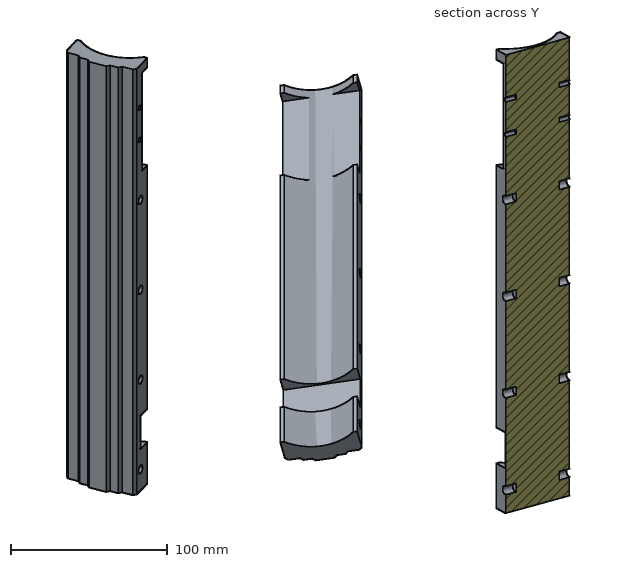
import cadquery as cq

LENGTH = 317.0
WIDTH = 50.0
DEPTH = 21.0
HALF_WIDTH = WIDTH / 2
FRONT = -DEPTH / 2
BACK = DEPTH / 2
TOP = LENGTH / 2
BOTTOM = -LENGTH / 2

RIM_WIDTH = 2.5
TROUGH_DEPTH = 8.5

STEP = 2.0
CENTRE_LAND_HALF = 6.0
MIDDLE_LAND_HALF = 13.5
OUTER_LAND_HALF = HALF_WIDTH - STEP

UPPER_NOTCH = (TOP - 80.0, TOP - 7.0, 7.5)
LOWER_NOTCH = (BOTTOM + 31.0, BOTTOM + 55.8, 9.8)

LARGE_HOLE_DIAMETER = 5.7
LARGE_HOLE_Y = BACK - 9.8
LARGE_HOLE_COUNT = 4
LARGE_HOLE_PITCH = 67.0
LOWEST_HOLE_Z = BOTTOM + 16.0
SMALL_HOLE_DIAMETER = 3.2
SMALL_HOLE_Y = BACK - 11.0
SMALL_HOLE_HEIGHTS = (TOP - 55.0, TOP - 31.0)
HOLE_DEPTH = 8.0


def make_body():
    """Extrude the cross-section with its stepped front and arched back."""
    right_front = [
        (CENTRE_LAND_HALF, FRONT),
        (CENTRE_LAND_HALF + STEP, FRONT + STEP),
        (MIDDLE_LAND_HALF, FRONT + STEP),
        (MIDDLE_LAND_HALF + STEP, FRONT + 2 * STEP),
        (OUTER_LAND_HALF, FRONT + 2 * STEP),
        (HALF_WIDTH, FRONT + 3 * STEP),
        (HALF_WIDTH, BACK),
    ]
    left_front = [(-x, y) for x, y in reversed(right_front)]
    trough_half = HALF_WIDTH - RIM_WIDTH
    return (
        cq.Workplane("XY", origin=(0, 0, BOTTOM))
        .polyline(left_front + right_front)
        .lineTo(trough_half, BACK)
        .threePointArc((0, BACK - TROUGH_DEPTH), (-trough_half, BACK))
        .close()
        .extrude(LENGTH)
    )


def make_notch(lower_end, upper_end, depth):
    """Return a full-width cutter reaching in from the back."""
    return (
        cq.Workplane("XY", origin=(0, BACK - depth / 2, lower_end))
        .rect(WIDTH, depth)
        .extrude(upper_end - lower_end)
    )


def make_side_holes(diameter, y, z):
    """Return a mirrored pair of blind hole cutters, one in each side face."""
    left = (
        cq.Workplane("YZ", origin=(-HALF_WIDTH, y, z))
        .circle(diameter / 2)
        .extrude(HOLE_DEPTH)
    )
    return left.union(left.mirror("YZ"))


result = make_body()
for notch in (UPPER_NOTCH, LOWER_NOTCH):
    result = result.cut(make_notch(*notch))
for index in range(LARGE_HOLE_COUNT):
    hole_z = LOWEST_HOLE_Z + index * LARGE_HOLE_PITCH
    result = result.cut(make_side_holes(LARGE_HOLE_DIAMETER, LARGE_HOLE_Y, hole_z))
for hole_z in SMALL_HOLE_HEIGHTS:
    result = result.cut(make_side_holes(SMALL_HOLE_DIAMETER, SMALL_HOLE_Y, hole_z))